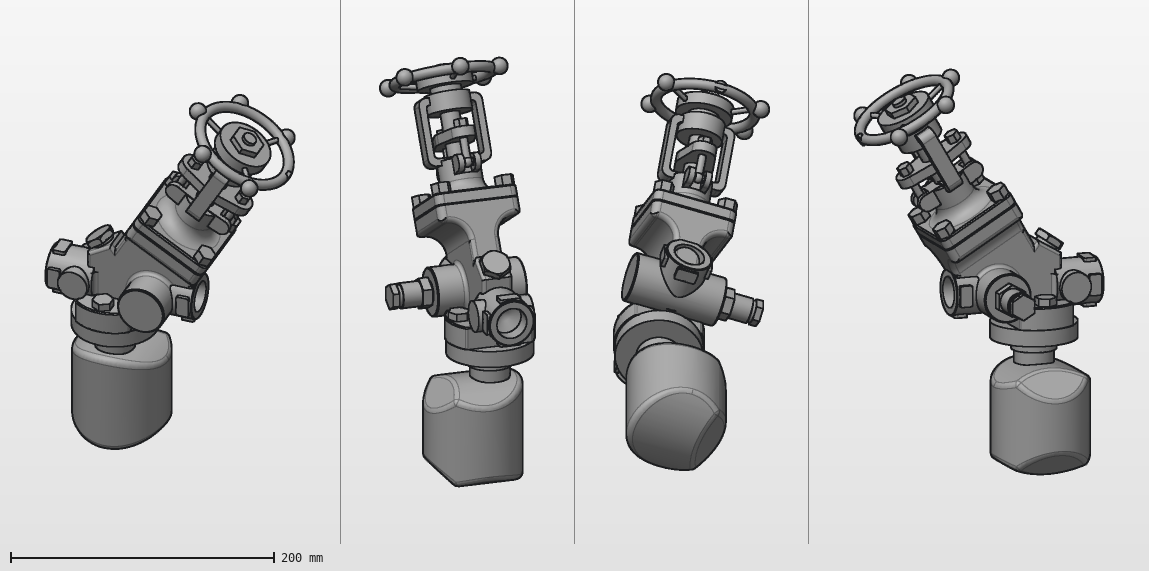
import cadquery as cq
import math

HEX_HALF_SECTOR = 30.0
CORNERS_ON_X = 0.0
CORNERS_ON_Y = 30.0

OVERLAP = 1.0
PIPE_LEFT = -50.4
PIPE_RIGHT = 69.6
PIPE_R = 18.0
PIPE_GAP_LEFT = -12.5
PIPE_GAP_RIGHT = 28.0
BRANCH_FILLET_R = 3.0
BRANCH_FILLET_TOP = 10.0
SOCKET_R = 12.0
SOCKET_DEPTH = 13.0
SOCKET_CONE = 6.0
PAD_INSET = 7.3
PAD_LENGTH = 10.0
PAD_WIDTH = 16.5
PAD_R = 19.0
PAD_CORNER_R = 1.5
PIPE_CHAMFER = 0.6

TILT = 30.0
AXIS_X = 22.0

WEB_HALF = 12.0
WEB_EDGE_R = 2.5
WEB_LEFT = -18.4
PLUG_SEAT_LOW_Z = 25.5
PLUG_SEAT_HIGH = (1.0, 37.0)
NOTCH_HEIGHT = 19.5
WEB_INSET = 1.0
SMALL_BOSS_X = -26.2
SMALL_BOSS_R = 12.0
SMALL_BOSS_HALF = 22.3
BIG_BOSS_X = 35.1
BIG_BOSS_R = 19.0
BIG_BOSS_HALF = 36.0
BIG_BOSS_CHAMFER = 0.9
BIG_BOSS_FLARE = 3.0

PLATE_HALF = 33.0
PLATE_CORNER_R = 6.0
PLATE_BOTTOM = 52.0
JOINT = 65.5
GASKET_THICK = 0.8
GASKET_INSET = 0.8
BONNET_TOP = 75.0
BONNET_CHAMFER = 1.2
SHOULDER_FOOT = 20.0
SHOULDER_BOTTOM = 36.5
SHOULDER_LIP_R = 4.0
SHOULDER_EDGE_R = 4.0
BOLT_HEAD = 7.8
BOLT_AF = 13.0
BONNET_BOLT_AT = 25.5

NECK_R = 16.5
NECK_TOP = 103.0
NECK_FLARE = 11.0
EYE_AT = 22.3
EYE_HEIGHT = 97.5
LUG_R = 6.5
LUG_ROOT_DROP = 2.0
LUG_INNER = 4.2
LUG_OUTER = 9.0
SWING_BOLT_R = 3.0
EYE_R = 4.0
GLAND_BOTTOM = 116.0
GLAND_TOP = 124.0
GLAND_R = 14.7
GLAND_END_R = 9.7
NUT_AF = 9.5
NUT_TOP = 130.5
STEM_R = 7.5
YOKE_BOTTOM = 99.5
YOKE_TOP = 152.5
YOKE_HALF = 25.5
YOKE_THICK = 5.7
YOKE_WIDTH = 12.4
YOKE_CORNER_R = 6.0
COLLAR_R = 17.5
COLLAR_BOTTOM = 140.0
COLLAR_TOP = 154.5

HUB_NECK_R = 12.0
HUB_BOTTOM = 160.0
HUB_TOP = 169.5
HUB_R = 21.6
WHEEL_HEIGHT = 167.8
RIM_R = 38.0
RIM_TUBE_R = 4.0
RIM_SEAM_ANGLE = 25.0
KNOB_CIRCLE_R = 44.0
KNOB_SPACING = 60.0
KNOB_R = 6.43
SPOKE_R = 2.0
SPOKE_TILT = 12.0
SPOKE_START = 15.0
STUB_R = 4.75
STUB_END = 41.38
WHEEL_NUT_AF = 22.63
WHEEL_NUT_TOP = 174.3
STEM_TIP_R = 5.25
STEM_TIP = 177.0

PLUG_TILT = -35.0
PLUG_X = -14.2
PLUG_Z = 37.0
PLUG_R = 10.7
PLUG_AF = 21.0
PLUG_THICK = 5.5
PLUG_SHANK_R = 8.5
PLUG_SHANK = 20.0

BLOCK_R = 34.5
BLOCK_HALF_X = 22.0
BLOCK_CORNER_R = 2.0
BLOCK_CHAMFER = 1.0
BLOCK_TOP = -10.2
FLANGE_TOP = -28.0
FLANGE_BOTTOM = -40.8
FLANGE_R = 33.5
BLOCK_BOLT_Y = 25.0
BLOCK_BOLT_AF = 14.5
BLOCK_BOLT_TOP = -4.2
SPIGOT_R = 17.5
SPIGOT_BOTTOM = -49.4
TRAP_NECK_R = 15.4

TRAP_R = 38.0
TRAP_Y = 13.7
TRAP_TOP = -58.8
TRAP_BOTTOM = -141.8
TRAP_DOME_R = 65.0
TRAP_BEVEL = 20.7
TRAP_EDGE_R = 5.0

SIDE_SEAL_R = 9.0
SIDE_SEAL_END = 37.6
SIDE_HEX_AF = 21.5
SIDE_HEX_END = 45.0
SIDE_BARREL_R = 9.8
SIDE_BARREL_END = 60.3
SIDE_NECK_R = 8.6
SIDE_NECK_END = 63.2
SIDE_CAP_AF = 17.6
SIDE_CAP_END = 68.55


def rod(radius, bottom, top):
    """Upright cylinder between two heights."""
    return cq.Workplane("XY").workplane(offset=bottom).circle(radius).extrude(top - bottom)


def hexagon(across_flats, bottom, top, corner_angle=CORNERS_ON_Y):
    """Upright hexagonal prism; corner_angle turns one corner away from +X."""
    corners = across_flats / math.cos(math.radians(HEX_HALF_SECTOR))
    prism = cq.Workplane("XY").workplane(offset=bottom).polygon(6, corners).extrude(top - bottom)
    return prism.rotate((0, 0, 0), (0, 0, 1), corner_angle)


def cross_rod(radius, x, half_length):
    """Cylinder along Y, centred on the pipe axis."""
    return cq.Workplane("XZ").center(x, 0).circle(radius).extrude(half_length, both=True)


def on_valve_axis(shape):
    """Moves a shape built upright at the origin onto the inclined valve axis."""
    return shape.rotate((0, 0, 0), (0, 1, 0), TILT).translate((AXIS_X, 0, 0))


def axis_point(across, height):
    """X and Z of a point of the inclined frame."""
    angle = math.radians(TILT)
    x = AXIS_X + across * math.cos(angle) + height * math.sin(angle)
    z = height * math.cos(angle) - across * math.sin(angle)
    return (x, z)


def pipe():
    """Inlet and outlet branches with their wrench pads; the web fills the gap between them."""
    body = cq.Workplane("YZ").workplane(offset=PIPE_LEFT).circle(PIPE_R).extrude(PIPE_RIGHT - PIPE_LEFT)
    body = body.faces("<X or >X").edges().chamfer(PIPE_CHAMFER)
    gap_length = PIPE_GAP_RIGHT - PIPE_GAP_LEFT
    gap = cq.Workplane("XY").box(gap_length, 2 * PAD_R, 2 * PAD_R)
    body = body.cut(gap.translate(((PIPE_GAP_LEFT + PIPE_GAP_RIGHT) / 2, 0, 0)))
    for pad_x in (PIPE_LEFT + PAD_INSET, PIPE_RIGHT - PAD_INSET):
        pads = cq.Workplane("XY").box(PAD_LENGTH, PAD_WIDTH, 2 * PAD_R)
        pads = pads.edges("|Z").fillet(PAD_CORNER_R).translate((pad_x, 0, 0))
        body = body.union(pads).union(pads.rotate((0, 0, 0), (1, 0, 0), 90))
    return body


def sockets():
    depth = SOCKET_DEPTH
    profile = [(0, 0), (0, SOCKET_R), (depth, SOCKET_R), (depth + SOCKET_CONE, 0)]
    left = cq.Workplane("XY").polyline(profile).close().revolve(360, (0, 0, 0), (1, 0, 0))
    right = left.mirror("YZ").translate((PIPE_RIGHT, 0, 0))
    return left.translate((PIPE_LEFT, 0, 0)).union(right)


def web_outline():
    return cq.Workplane("XZ").polyline([
        (WEB_LEFT, FLANGE_TOP),
        (WEB_LEFT, PLUG_SEAT_LOW_Z),
        PLUG_SEAT_HIGH,
        axis_point(WEB_INSET - PLATE_HALF, NOTCH_HEIGHT),
        axis_point(WEB_INSET - PLATE_HALF, SHOULDER_BOTTOM),
        axis_point(PLATE_HALF, SHOULDER_BOTTOM),
        (PIPE_RIGHT, 0),
        (BLOCK_HALF_X, FLANGE_TOP / 2),
        (BLOCK_HALF_X, FLANGE_TOP),
    ]).close()


def web():
    """Thin middle of the body, with rounded edges."""
    slab = web_outline().extrude(WEB_HALF, both=True)
    return slab.faces("<Y or >Y").edges().fillet(WEB_EDGE_R)


def shoulder():
    """Concave widening from the thin web to the square joint plate, on the valve axis."""
    sweep_r = PLATE_BOTTOM - SHOULDER_BOTTOM
    sweep_end = WEB_HALF + sweep_r
    lip = SHOULDER_LIP_R
    mid = sweep_r * (1 - math.sqrt(0.5))
    lip_mid = lip * (1 - math.sqrt(0.5))
    half = (
        cq.Workplane("YZ")
        .moveTo(0, SHOULDER_FOOT)
        .lineTo(WEB_HALF, SHOULDER_FOOT)
        .lineTo(WEB_HALF, SHOULDER_BOTTOM)
        .threePointArc((WEB_HALF + mid, PLATE_BOTTOM - mid), (sweep_end, PLATE_BOTTOM))
        .lineTo(PLATE_HALF - lip, PLATE_BOTTOM)
        .threePointArc((PLATE_HALF - lip_mid, PLATE_BOTTOM + lip_mid), (PLATE_HALF, PLATE_BOTTOM + lip))
        .lineTo(PLATE_HALF, JOINT)
        .lineTo(0, JOINT)
        .close()
        .extrude(PLATE_HALF, both=True)
    )
    whole = half.union(half.mirror("XZ"))
    whole = whole.faces("<X or >X").edges("not(>Z or <Z)").fillet(SHOULDER_EDGE_R)
    square = 2 * PLATE_HALF
    column = cq.Workplane("XY").box(square, square, JOINT).translate((0, 0, JOINT / 2))
    return whole.intersect(column.edges("|Z").fillet(PLATE_CORNER_R))


def gasket_groove():
    """Narrow groove around the joint between body and bonnet."""
    square = 2 * PLATE_HALF
    plane = cq.Workplane("XY").workplane(offset=JOINT - GASKET_THICK / 2)
    outside = plane.rect(2 * square, 2 * square).extrude(GASKET_THICK)
    inner_side = square - 2 * GASKET_INSET
    inside = plane.rect(inner_side, inner_side).extrude(GASKET_THICK)
    return outside.cut(inside.edges("|Z").fillet(PLATE_CORNER_R - GASKET_INSET))


def branch_fillet():
    """Concave corners where the inner end of the left branch meets the faces of the web."""
    radius = BRANCH_FILLET_R
    mid = radius * (1 - math.sqrt(0.5))
    corner = (
        cq.Workplane("XY")
        .workplane(offset=BLOCK_TOP)
        .moveTo(PIPE_GAP_LEFT, WEB_HALF)
        .lineTo(PIPE_GAP_LEFT + radius, WEB_HALF)
        .threePointArc((PIPE_GAP_LEFT + mid, WEB_HALF + mid), (PIPE_GAP_LEFT, WEB_HALF + radius))
        .lineTo(PIPE_GAP_LEFT - OVERLAP, WEB_HALF + radius)
        .lineTo(PIPE_GAP_LEFT - OVERLAP, WEB_HALF - OVERLAP)
        .lineTo(PIPE_GAP_LEFT, WEB_HALF - OVERLAP)
        .close()
        .extrude(BRANCH_FILLET_TOP - BLOCK_TOP)
    )
    return corner.union(corner.mirror("XZ"))


def bosses():
    """Round bosses on both sides of the body."""
    big = cross_rod(BIG_BOSS_R, BIG_BOSS_X, BIG_BOSS_HALF).edges().chamfer(BIG_BOSS_CHAMFER)
    return big.union(big_boss_flare()).union(cross_rod(SMALL_BOSS_R, SMALL_BOSS_X, SMALL_BOSS_HALF))


def big_boss_flare():
    """Concave transition from the web to the big boss, kept within the web outline."""
    flare = BIG_BOSS_FLARE
    mid = flare * (1 - math.sqrt(0.5))
    half = (
        cq.Workplane("XY")
        .lineTo(BIG_BOSS_R + flare, 0)
        .lineTo(BIG_BOSS_R + flare, WEB_HALF)
        .threePointArc((BIG_BOSS_R + mid, WEB_HALF + mid), (BIG_BOSS_R, WEB_HALF + flare))
        .lineTo(0, WEB_HALF + flare)
        .close()
        .revolve(360, (0, 0, 0), (0, 1, 0))
    )
    ring = half.union(half.mirror("XZ")).translate((BIG_BOSS_X, 0, 0))
    return ring.intersect(web_outline().extrude(WEB_HALF + flare, both=True))


def plug():
    """Hexagon plug with a rounded-off face, seated on a round collar."""
    rounding = cq.Workplane("XY").workplane(offset=-PLUG_THICK).circle(PLUG_R + PLUG_THICK)
    rounding = rounding.workplane(offset=PLUG_THICK).circle(PLUG_R).loft()
    head = hexagon(PLUG_AF, -PLUG_THICK, 0, CORNERS_ON_X).intersect(rounding)
    shank = rod(PLUG_SHANK_R, -PLUG_SHANK, 0)
    return head.union(shank).rotate((0, 0, 0), (0, 1, 0), PLUG_TILT).translate((PLUG_X, 0, PLUG_Z))


def bonnet():
    square = 2 * PLATE_HALF
    plate = cq.Workplane("XY").workplane(offset=JOINT).rect(square, square).extrude(BONNET_TOP - JOINT)
    plate = plate.edges("|Z").fillet(PLATE_CORNER_R).faces(">Z").edges().chamfer(BONNET_CHAMFER)
    mid = NECK_FLARE * (1 - math.sqrt(0.5))
    neck = (
        cq.Workplane("XZ")
        .moveTo(0, JOINT)
        .lineTo(NECK_R + NECK_FLARE, JOINT)
        .lineTo(NECK_R + NECK_FLARE, BONNET_TOP)
        .threePointArc((NECK_R + mid, BONNET_TOP + mid), (NECK_R, BONNET_TOP + NECK_FLARE))
        .lineTo(NECK_R, NECK_TOP)
        .lineTo(0, NECK_TOP)
        .close()
        .revolve(360, (0, 0, 0), (0, 1, 0))
    )
    body = plate.union(neck)
    for x in (-BONNET_BOLT_AT, BONNET_BOLT_AT):
        for y in (-BONNET_BOLT_AT, BONNET_BOLT_AT):
            head = hexagon(BOLT_AF, BONNET_TOP - OVERLAP, BONNET_TOP + BOLT_HEAD)
            body = body.union(head.translate((x, y, 0)))
    return body


def lug_pair():
    """Two parallel ears with a tapered root, on the +X side of the neck."""
    ear = cq.Workplane("XZ").center(EYE_AT, EYE_HEIGHT).circle(LUG_R).extrude(LUG_OUTER, both=True)
    low = EYE_HEIGHT - LUG_R
    root_outline = [(0, low - LUG_ROOT_DROP), (EYE_AT, low), (EYE_AT, EYE_HEIGHT + LUG_R), (0, NECK_TOP)]
    root = cq.Workplane("XZ").polyline(root_outline).close().extrude(LUG_OUTER, both=True)
    slot_length = 2 * LUG_R + EYE_AT
    slot = cq.Workplane("XY").box(slot_length, 2 * LUG_INNER, 4 * LUG_R)
    slot_x = NECK_R + slot_length / 2
    return ear.union(root).cut(slot.translate((slot_x, 0, EYE_HEIGHT)))


def swing_bolt():
    eye = cq.Workplane("XY").sphere(EYE_R).translate((0, 0, EYE_HEIGHT))
    pin = cq.Workplane("XZ").center(0, EYE_HEIGHT).circle(SWING_BOLT_R).extrude(LUG_OUTER, both=True)
    shank = rod(SWING_BOLT_R, EYE_HEIGHT, GLAND_TOP)
    nut = hexagon(NUT_AF, GLAND_TOP, NUT_TOP)
    return eye.union(pin).union(shank).union(nut).translate((EYE_AT, 0, 0))


def gland_plate():
    """Oval plate: a round middle joined to smaller round ends by tangent sides."""
    thick = GLAND_TOP - GLAND_BOTTOM
    plane = cq.Workplane("XY").workplane(offset=GLAND_BOTTOM)
    body = plane.circle(GLAND_R).extrude(thick)
    cosine = (GLAND_R - GLAND_END_R) / EYE_AT
    sine = math.sqrt(1 - cosine**2)
    for side in (-1, 1):
        end_x = side * (EYE_AT + GLAND_END_R * cosine)
        root_x = side * GLAND_R * cosine
        outline = [
            (root_x, -GLAND_R * sine),
            (end_x, -GLAND_END_R * sine),
            (end_x, GLAND_END_R * sine),
            (root_x, GLAND_R * sine),
        ]
        body = body.union(plane.polyline(outline).close().extrude(thick))
        body = body.union(plane.center(side * EYE_AT, 0).circle(GLAND_END_R).extrude(thick))
    return body


def yoke():
    height = YOKE_TOP - YOKE_BOTTOM
    middle = (YOKE_TOP + YOKE_BOTTOM) / 2
    outer = cq.Workplane("XY").box(YOKE_WIDTH, 2 * YOKE_HALF, height)
    outer = outer.edges("|X").fillet(YOKE_CORNER_R)
    inner = cq.Workplane("XY").box(2 * YOKE_WIDTH, 2 * (YOKE_HALF - YOKE_THICK), height - 2 * YOKE_THICK)
    inner = inner.edges("|X").fillet(YOKE_CORNER_R / 2)
    frame = outer.cut(inner).translate((0, 0, middle))
    return frame.union(rod(COLLAR_R, COLLAR_BOTTOM, COLLAR_TOP))


def handwheel():
    rim = cq.Workplane(cq.Solid.makeTorus(RIM_R, RIM_TUBE_R)).rotate((0, 0, 0), (0, 0, 1), RIM_SEAM_ANGLE)
    knob = cq.Workplane("XY").sphere(KNOB_R).translate((KNOB_CIRCLE_R, 0, 0))
    spoke = cq.Workplane("YZ").workplane(offset=SPOKE_START).circle(SPOKE_R).extrude(RIM_R - SPOKE_START)
    spoke = spoke.rotate((RIM_R, 0, 0), (RIM_R, 1, 0), -SPOKE_TILT)
    stub = cq.Workplane("YZ").workplane(offset=RIM_R).circle(STUB_R).extrude(STUB_END - RIM_R)
    wheel = rim
    for step in (1, 2, 3, 4, 5):
        wheel = wheel.union(knob.rotate((0, 0, 0), (0, 0, 1), KNOB_SPACING * step), clean=False)
    for step in (1, 3, 5):
        wheel = wheel.union(spoke.rotate((0, 0, 0), (0, 0, 1), KNOB_SPACING * step), clean=False)
    return wheel.union(stub, clean=False).translate((0, 0, WHEEL_HEIGHT))


def hub():
    body = rod(HUB_NECK_R, COLLAR_TOP, HUB_BOTTOM).union(rod(HUB_R, HUB_BOTTOM, HUB_TOP))
    body = body.union(hexagon(WHEEL_NUT_AF, HUB_TOP, WHEEL_NUT_TOP))
    return body.union(rod(STEM_TIP_R, HUB_TOP, STEM_TIP))


def trap_connection():
    block = rod(BLOCK_R, FLANGE_TOP, BLOCK_TOP)
    band = cq.Workplane("XY").box(2 * BLOCK_HALF_X, 2 * BLOCK_R, 4 * BLOCK_R)
    body = block.intersect(band).edges("|Z").fillet(BLOCK_CORNER_R).faces(">Z").edges().chamfer(BLOCK_CHAMFER)
    body = body.union(rod(FLANGE_R, FLANGE_BOTTOM, FLANGE_TOP))
    body = body.union(rod(SPIGOT_R, SPIGOT_BOTTOM, FLANGE_BOTTOM))
    body = body.union(rod(TRAP_NECK_R, TRAP_TOP - OVERLAP, SPIGOT_BOTTOM))
    for y in (-BLOCK_BOLT_Y, BLOCK_BOLT_Y):
        head = hexagon(BLOCK_BOLT_AF, BLOCK_TOP - OVERLAP, BLOCK_BOLT_TOP)
        body = body.union(head.translate((0, y, 0)))
    return body


def trap():
    """Round float chamber with arched ends, bevelled on its +Y side."""
    drop = TRAP_DOME_R - math.sqrt(TRAP_DOME_R**2 - TRAP_R**2)
    arched = (
        cq.Workplane("XZ")
        .moveTo(-TRAP_R, TRAP_BOTTOM + drop)
        .threePointArc((0, TRAP_BOTTOM), (TRAP_R, TRAP_BOTTOM + drop))
        .lineTo(TRAP_R, TRAP_TOP - drop)
        .threePointArc((0, TRAP_TOP), (-TRAP_R, TRAP_TOP - drop))
        .close()
        .extrude(2 * TRAP_R, both=True)
    )
    front_y = TRAP_Y - TRAP_R
    back_y = TRAP_Y + TRAP_R
    side = [
        (front_y, TRAP_BOTTOM),
        (back_y - TRAP_BEVEL, TRAP_BOTTOM),
        (back_y, TRAP_BOTTOM + TRAP_BEVEL),
        (back_y, TRAP_TOP - TRAP_BEVEL),
        (back_y - TRAP_BEVEL, TRAP_TOP),
        (front_y, TRAP_TOP),
    ]
    bevelled = cq.Workplane("YZ").polyline(side).close().extrude(TRAP_R, both=True)
    drum = rod(TRAP_R, TRAP_BOTTOM, TRAP_TOP).translate((0, TRAP_Y, 0))
    chamber = drum.intersect(arched).intersect(bevelled)
    return chamber.edges().fillet(TRAP_EDGE_R)


def side_valve():
    """Built upright, then laid along +Y on the big boss."""
    body = rod(SIDE_SEAL_R, BIG_BOSS_HALF, SIDE_SEAL_END)
    body = body.union(hexagon(SIDE_HEX_AF, SIDE_SEAL_END, SIDE_HEX_END))
    body = body.union(rod(SIDE_BARREL_R, SIDE_HEX_END, SIDE_BARREL_END))
    body = body.union(rod(SIDE_NECK_R, SIDE_BARREL_END, SIDE_NECK_END))
    body = body.union(hexagon(SIDE_CAP_AF, SIDE_NECK_END, SIDE_CAP_END))
    return body.rotate((0, 0, 0), (1, 0, 0), -90).translate((BIG_BOSS_X, 0, 0))


valve_top = shoulder().union(bonnet()).union(gland_plate()).union(yoke()).union(hub())
valve_top = valve_top.union(rod(STEM_R, BONNET_TOP, HUB_TOP))
valve_top = valve_top.cut(gasket_groove())
for half_turn in (0, 180):
    hinge = lug_pair().union(swing_bolt())
    valve_top = valve_top.union(hinge.rotate((0, 0, 0), (0, 0, 1), half_turn))

result = pipe().union(web()).union(branch_fillet()).union(bosses()).union(trap_connection()).cut(sockets())
result = result.union(plug()).union(side_valve()).union(trap()).union(on_valve_axis(valve_top))
result = result.union(on_valve_axis(handwheel()), clean=False)